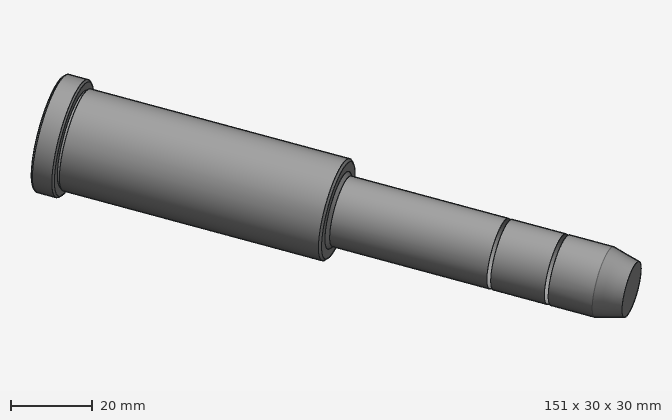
import cadquery as cq

total_length = 151.0
head_thickness = 6.0
shoulder_x = 74.7
nose_length = 7.1
groove_centers = (117.0, 132.0)

head_diameter = 30.0
body_diameter = 26.0
pin_diameter = 18.0
tip_diameter = 14.2

head_chamfer = 0.5
neck_relief_length = 0.8
neck_relief_depth = 0.6
shoulder_chamfer = 0.6
pin_root_cone = 0.9
groove_radius = 0.5

head_radius = head_diameter / 2
body_radius = body_diameter / 2
pin_radius = pin_diameter / 2
tip_radius = tip_diameter / 2


def turned_pin():
    """Revolve the stepped half outline, drawn as (axial, radial), about X."""
    outline = (
        cq.Workplane("XY")
        .moveTo(0, 0)
        .lineTo(0, head_radius - head_chamfer)
        .lineTo(head_chamfer, head_radius)
        .lineTo(head_thickness - head_chamfer, head_radius)
        .lineTo(head_thickness, head_radius - head_chamfer)
        .lineTo(head_thickness, body_radius - neck_relief_depth)
        .lineTo(head_thickness + neck_relief_length, body_radius)
        .lineTo(shoulder_x - shoulder_chamfer, body_radius)
        .lineTo(shoulder_x, body_radius - shoulder_chamfer)
        .lineTo(shoulder_x, pin_radius + pin_root_cone)
        .lineTo(shoulder_x + pin_root_cone, pin_radius)
        .lineTo(total_length - nose_length, pin_radius)
        .lineTo(total_length, tip_radius)
        .lineTo(total_length, 0)
        .close()
    )
    return outline.revolve(360, (0, 0, 0), (1, 0, 0))


def ring_groove(center_x):
    """Ring of round section that cuts a half-round groove into the pin."""
    return (
        cq.Workplane("XY")
        .center(center_x, pin_radius)
        .circle(groove_radius)
        .revolve(360, (0, -pin_radius, 0), (1, -pin_radius, 0))
    )


result = turned_pin()
for groove_center in groove_centers:
    result = result.cut(ring_groove(groove_center))